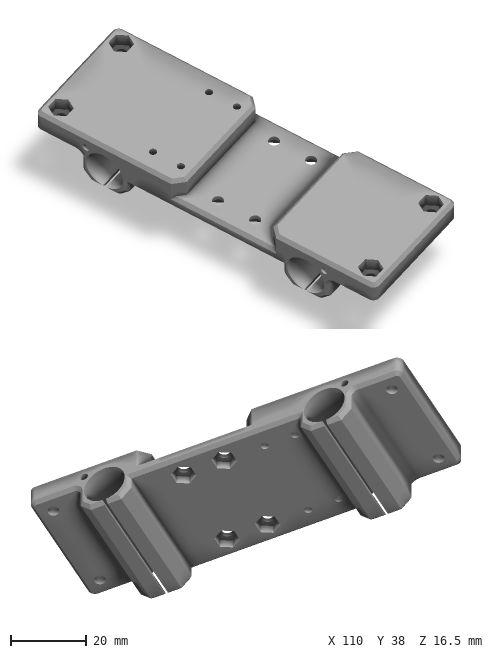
import cadquery as cq

LENGTH = 110.0
WIDTH = 38.0
HEIGHT = 16.5
EDGE_CHAMFER = 1.0
CORNER_RADIUS = 2.0

SLAB_BOTTOM = HEIGHT - 7.0
FLOOR_TOP = HEIGHT - 6.0
PLATE_BOTTOM = HEIGHT - 10.0

RECESS_LEFT = -8.0
RECESS_RIGHT = 20.0
RECESS_FLARE = 3.0

CLAMP_SPACING = 65.0
CLAMP_X = CLAMP_SPACING / 2
CLAMP_WIDTH = 15.0
CLAMP_CORNER = 3.0
CLAMP_FILLET = 2.0
BORE_DIAMETER = 12.0
BORE_Z = EDGE_CHAMFER + BORE_DIAMETER / 2
SLIT_WIDTH = 1.0

SMALL_HOLE = 2.2
SCREW_HOLE = 3.2
CROSS_HOLE_X = 38.5
CROSS_HOLE_Z = HEIGHT - 4.0
NUT_X = 50.0
NUT_Y = 14.0
NUT_CORNERS = 6.8
SLAB_NUT_DEPTH = 4.0
PLATE_NUT_DEPTH = 2.6
ROW_Y = 13.0
SLAB_HOLES_X = (-21.0, -12.0)
PLATE_HOLES_X = (0.0, 12.0)

CLEARANCE = 1.1
TOLERANCE = 0.01


def half_profile():
    """Right half of the XZ outline, without the recess, extruded over the width."""
    inner = CLAMP_X - CLAMP_WIDTH / 2
    outer = CLAMP_X + CLAMP_WIDTH / 2
    return (
        cq.Workplane("XZ")
        .moveTo(0, HEIGHT)
        .lineTo(0, PLATE_BOTTOM)
        .lineTo(inner, PLATE_BOTTOM)
        .lineTo(inner, CLAMP_CORNER)
        .lineTo(inner + CLAMP_CORNER, 0)
        .lineTo(outer - CLAMP_CORNER, 0)
        .lineTo(outer, CLAMP_CORNER)
        .lineTo(outer, SLAB_BOTTOM - CLAMP_FILLET)
        .radiusArc((outer + CLAMP_FILLET, SLAB_BOTTOM), CLAMP_FILLET)
        .lineTo(LENGTH / 2, SLAB_BOTTOM)
        .lineTo(LENGTH / 2, HEIGHT)
        .close()
        .extrude(WIDTH / 2, both=True)
    )


def edge_zone(x_limit, y_limit):
    """Box selector for edges up to the slab underside, between two XY corners."""
    return cq.selectors.BoxSelector(
        (x_limit[0], y_limit[0], -TOLERANCE),
        (x_limit[1], y_limit[1], SLAB_BOTTOM + TOLERANCE),
    )


def chamfer_underside(body):
    """Chamfer the lower rim: both long sides and both slab ends."""
    full_x = (-LENGTH, LENGTH)
    full_y = (-WIDTH, WIDTH)
    rim = (
        edge_zone(full_x, (-WIDTH, CORNER_RADIUS - WIDTH / 2))
        + edge_zone(full_x, (WIDTH / 2 - CORNER_RADIUS, WIDTH))
        + edge_zone((-LENGTH, CORNER_RADIUS - LENGTH / 2), full_y)
        + edge_zone((LENGTH / 2 - CORNER_RADIUS, LENGTH), full_y)
    )
    return body.edges(rim).chamfer(EDGE_CHAMFER)


def recess():
    """Recess cutter that widens at 45 degrees towards both long sides."""
    side = WIDTH / 2
    neck = side - RECESS_FLARE
    left_mouth = RECESS_LEFT - RECESS_FLARE
    right_mouth = RECESS_RIGHT + RECESS_FLARE
    outline = [
        (left_mouth, -side),
        (RECESS_LEFT, -neck),
        (RECESS_LEFT, neck),
        (left_mouth, side),
        (right_mouth, side),
        (RECESS_RIGHT, neck),
        (RECESS_RIGHT, -neck),
        (right_mouth, -side),
    ]
    return (
        cq.Workplane("XY", origin=(0, 0, FLOOR_TOP))
        .polyline(outline)
        .close()
        .extrude(HEIGHT - FLOOR_TOP)
    )


def cross_bore(x, z, diameter):
    """Cylinder along Y through the whole width."""
    return (
        cq.Workplane("XZ", origin=(x, 0, z))
        .circle(diameter / 2)
        .extrude(WIDTH / 2 + CLEARANCE, both=True)
    )


def vertical_holes(points, diameter):
    """Cylinders along Z through the whole height."""
    return cq.Workplane("XY").pushPoints(points).circle(diameter / 2).extrude(HEIGHT)


def mirrored_rows(x_positions, y):
    """Points at each X position, on both sides of the X axis."""
    return [(x, side * y) for x in x_positions for side in (-1, 1)]


def nut_pocket(point, floor, depth):
    """Hexagonal pocket rising from a floor height, with two corners along Y."""
    pocket = cq.Workplane("XY").polygon(6, NUT_CORNERS).extrude(depth)
    turned = pocket.rotate((0, 0, 0), (0, 0, 1), 90)
    return turned.translate((*point, floor))


right_half = half_profile()
result = right_half.union(right_half.mirror("YZ"))
result = result.faces("<X or >X").edges("|Z").fillet(CORNER_RADIUS)
result = chamfer_underside(result)
result = result.cut(recess())
result = result.faces(">Z").edges().chamfer(EDGE_CHAMFER)
floor_sides = cq.selectors.BoxSelector(
    (RECESS_LEFT, -WIDTH, FLOOR_TOP - TOLERANCE),
    (RECESS_RIGHT, WIDTH, FLOOR_TOP + TOLERANCE),
)
result = result.edges("|X").edges(floor_sides).chamfer(EDGE_CHAMFER)

for side in (-1, 1):
    result = result.cut(cross_bore(side * CLAMP_X, BORE_Z, BORE_DIAMETER))
    result = result.cut(cross_bore(side * CROSS_HOLE_X, CROSS_HOLE_Z, SMALL_HOLE))
    slit = cq.Workplane("XY").box(SLIT_WIDTH, WIDTH, BORE_Z, centered=(True, True, False))
    result = result.cut(slit.translate((side * CLAMP_X, 0, 0)))

slab_nuts = mirrored_rows((-NUT_X, NUT_X), NUT_Y)
for point in slab_nuts:
    result = result.cut(nut_pocket(point, HEIGHT - SLAB_NUT_DEPTH, SLAB_NUT_DEPTH))
result = result.cut(vertical_holes(slab_nuts, SCREW_HOLE))

plate_nuts = mirrored_rows(PLATE_HOLES_X, ROW_Y)
for point in plate_nuts:
    result = result.cut(nut_pocket(point, PLATE_BOTTOM, PLATE_NUT_DEPTH))
result = result.cut(vertical_holes(plate_nuts, SCREW_HOLE))

slab_holes = mirrored_rows(SLAB_HOLES_X, ROW_Y)
result = result.cut(vertical_holes(slab_holes, SMALL_HOLE))